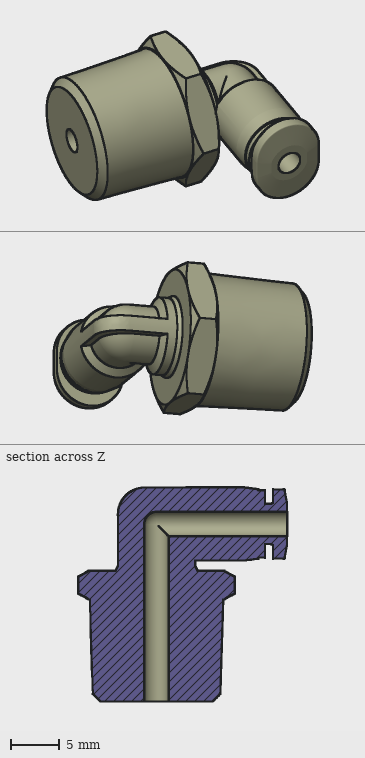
import cadquery as cq
import math


elbow_radius = 3.0
bore_radius = 1.25

branch_radius = 3.8
branch_shoulder_x = 2.7
branch_shoulder_end_x = branch_shoulder_x + branch_radius - elbow_radius
branch_taper_x = 9.0
branch_taper_end_x = 10.5
branch_taper_end_radius = 3.6
branch_tip_radius = 3.5
branch_end_x = 11.2

neck_radius = 2.1
neck_flare = 0.1
neck_flare_x = 11.8
flange_x = 12.0
flange_edge_x = 13.21
sleeve_end_x = 13.5
flange_end_radius = 3.6
flange_half_flat = 1.0
mouth_radius = 2.15
mouth_half_flat = 0.6
flange_edge_fillet = 0.13

collar_radius = 4.0
collar_top_y = -2.73
collar_shoulder_y = -3.28
collar_flare_y = -4.3
collar_flare_radius = 4.25

hex_across_flats = 14.0
hex_top_y = -4.8
hex_height = 3.0
hex_bottom_y = hex_top_y - hex_height
hex_circumradius = hex_across_flats / math.sqrt(3)
hex_chamfer_radius = hex_across_flats / 2
hex_chamfer_angle = math.radians(30)
hex_chamfer_height = (hex_circumradius - hex_chamfer_radius) * math.tan(hex_chamfer_angle)

thread_length = 10.5
thread_end_y = hex_bottom_y - thread_length
thread_root_radius = 6.9
thread_taper = 1 / 16
thread_chamfer = 0.8
thread_chamfer_y = thread_end_y + thread_chamfer
thread_tip_radius = thread_root_radius - (hex_bottom_y - thread_chamfer_y) * thread_taper / 2

rib_thickness = 1.6
rib_corner_radius = 2.85


def revolve_about_x(profile):
    """Revolve (x, radius) points, closed along the axis, about X."""
    points = [(profile[0][0], 0)] + profile + [(profile[-1][0], 0)]
    return cq.Workplane("XY").polyline(points).close().revolve(360, (0, 0, 0), (1, 0, 0))


def revolve_about_y(profile):
    """Revolve (radius, y) points, closed along the axis, about Y."""
    points = [(0, profile[0][1])] + profile + [(0, profile[-1][1])]
    return cq.Workplane("XY").polyline(points).close().revolve(360, (0, 0, 0), (0, 1, 0))


def make_stem():
    """Elbow leg, flared collar and tapered thread blank."""
    upper = revolve_about_y([
        (elbow_radius, 0),
        (elbow_radius, collar_top_y),
        (collar_radius, collar_shoulder_y),
        (collar_radius, collar_flare_y),
        (collar_flare_radius, hex_top_y),
    ])
    thread = revolve_about_y([
        (thread_root_radius, hex_bottom_y),
        (thread_tip_radius, thread_chamfer_y),
        (thread_tip_radius - thread_chamfer, thread_end_y),
    ])
    return upper.union(make_hexagon()).union(thread)


def make_hexagon():
    """Hexagon with corners on +X and -X, chamfered on both faces."""
    prism = (
        cq.Workplane("XZ", origin=(0, hex_top_y, 0))
        .polygon(6, 2 * hex_circumradius)
        .extrude(hex_height)
    )
    envelope = revolve_about_y([
        (hex_chamfer_radius, hex_top_y),
        (hex_circumradius, hex_top_y - hex_chamfer_height),
        (hex_circumradius, hex_bottom_y + hex_chamfer_height),
        (hex_chamfer_radius, hex_bottom_y),
    ])
    return prism.intersect(envelope)


def make_branch():
    """Elbow leg, branch body and sleeve neck."""
    return revolve_about_x([
        (0, elbow_radius),
        (branch_shoulder_x, elbow_radius),
        (branch_shoulder_end_x, branch_radius),
        (branch_taper_x, branch_radius),
        (branch_taper_end_x, branch_taper_end_radius),
        (branch_taper_end_x, branch_tip_radius),
        (branch_end_x, branch_tip_radius),
        (branch_end_x, neck_radius),
        (neck_flare_x, neck_radius),
        (flange_x, neck_radius + neck_flare),
    ])


def draw_rounded_outline(workplane, half_side, half_flat, end_z):
    """Two sides at y = +/-half_side joined by arcs that reach z = +/-end_z."""
    return (
        workplane.moveTo(half_side, -half_flat)
        .lineTo(half_side, half_flat)
        .threePointArc((0, end_z), (-half_side, half_flat))
        .lineTo(-half_side, -half_flat)
        .threePointArc((0, -end_z), (half_side, -half_flat))
        .close()
    )


def make_flange():
    """Oblong push flange whose outer face slopes to a nearly round mouth."""
    flange_end_z = flange_half_flat + flange_end_radius
    plate_plane = cq.Workplane("YZ", origin=(flange_x, 0, 0))
    plate = draw_rounded_outline(
        plate_plane, flange_end_radius, flange_half_flat, flange_end_z
    ).extrude(flange_edge_x - flange_x)

    mouth_half_side = math.sqrt(mouth_radius**2 - mouth_half_flat**2)
    slope_plane = cq.Workplane("YZ", origin=(flange_edge_x, 0, 0))
    slope_base = draw_rounded_outline(slope_plane, flange_end_radius, flange_half_flat, flange_end_z)
    slope = draw_rounded_outline(
        slope_base.workplane(offset=sleeve_end_x - flange_edge_x),
        mouth_half_side, mouth_half_flat, mouth_radius,
    ).loft(ruled=True)

    edge_tolerance = 0.01
    rim = cq.selectors.BoxSelector(
        (flange_edge_x - edge_tolerance, -flange_end_z, -flange_end_z - edge_tolerance),
        (flange_edge_x + edge_tolerance, flange_end_z, flange_end_z + edge_tolerance),
    )
    return plate.union(slope).edges(rim).fillet(flange_edge_fillet)


def make_rib():
    """Rib on the mid plane round the outside of the bend, flush with the collar and branch body."""
    outer = revolve_about_y([(collar_radius, collar_shoulder_y), (collar_radius, 2 * branch_radius)])
    crown_span = [(-2 * collar_radius, branch_radius), (branch_shoulder_end_x, branch_radius)]
    crown = revolve_about_x(crown_span).rotate((0, 0, 0), (1, 0, 0), 180)
    slab = cq.Workplane("XY").box(4 * collar_radius, 4 * collar_radius, rib_thickness)
    corner = cq.selectors.NearestToPointSelector((-collar_radius, branch_radius, 0))
    rounded = slab.intersect(outer).intersect(crown).edges(corner).fillet(rib_corner_radius)
    outside = (
        cq.Workplane("XY", origin=(0, 0, -rib_thickness / 2))
        .polyline([
            (0, collar_shoulder_y),
            (-collar_radius, collar_shoulder_y),
            (-collar_radius, branch_radius),
            (branch_shoulder_end_x, branch_radius),
            (branch_shoulder_end_x, 0),
            (0, 0),
        ])
        .close()
        .extrude(rib_thickness)
    )
    return rounded.intersect(outside)


def make_bore():
    """Flow passage up the stem, round the bend and out through the branch."""
    stem_bore = revolve_about_y([(bore_radius, 0), (bore_radius, thread_end_y)])
    branch_bore = revolve_about_x([(0, bore_radius), (sleeve_end_x, bore_radius)])
    return stem_bore.union(branch_bore).union(cq.Workplane("XY").sphere(bore_radius))


result = (
    make_stem()
    .union(make_branch())
    .union(cq.Workplane("XY").sphere(elbow_radius))
    .union(make_flange())
    .union(make_rib())
    .cut(make_bore())
)